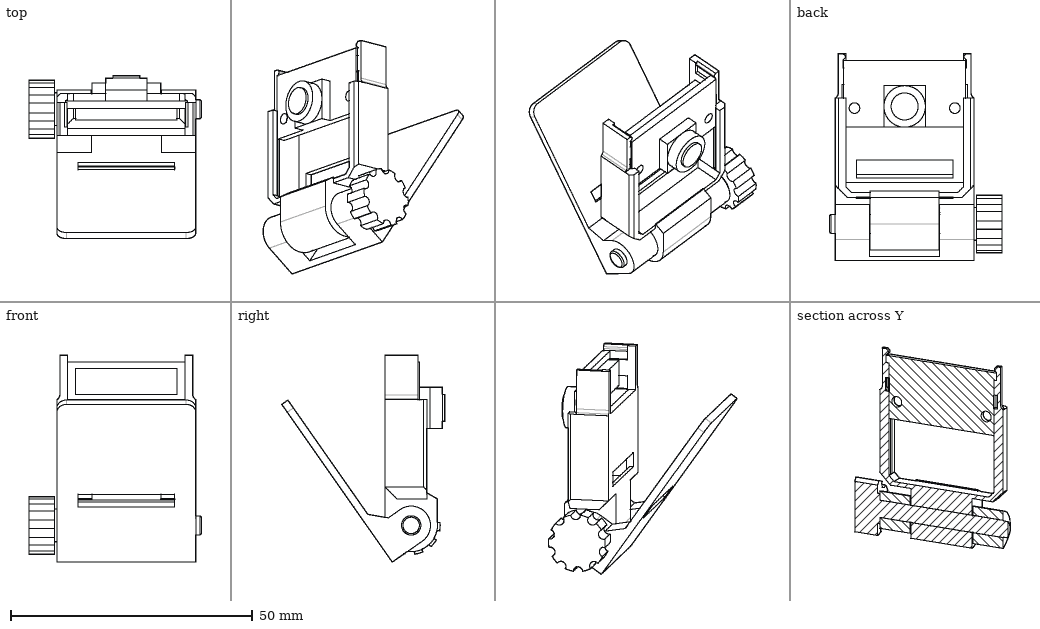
import cadquery as cq
import math


flap_angle = 55.0
pin_radius = 2.0
knuckle_radius = 4.0
tongue_radius = 5.45
tongue_width = 14.3
knuckle_gap = 0.1
tongue_top_slope = 30.0

housing_width = 28.8
housing_front = -tongue_radius
housing_depth = 8.7
housing_rear = housing_front + housing_depth
housing_bottom = 5.5
shoulder_height = 26.05
bottom_chamfer = 2.5
rear_corner_chamfer = 0.7

arm_top = 35.3
arm_outer = 13.8
arm_rear = 1.44
arm_root_radius = 1.03

cavity_half_width = 12.15
front_wall = 1.5
cavity_front = housing_front + front_wall
floor_height = 6.5
floor_half_width = 11.0
floor_front = -1.9
window_length = 20.0
window_bottom = 10.2
window_height = 3.0
window_chamfer = 0.7

groove_front = -3.7
lead_in_half_width = 12.8
catch_half_width = 12.33
catch_height = 0.4
catch_bulge = 0.08
upper_notch_half_width = lead_in_half_width
lower_notch_half_width = 13.0
upper_notch_floor = 32.3
lower_notch_floor = shoulder_height
lower_notch_top = 28.9

plate_front = 0.12
plate_rear = 1.73
plate_bottom = 20.05
plate_top = 33.9
flange_half_width = 12.65
lip_rise = 0.3
boss_size = 8.6
boss_rear = 3.94
boss_center = plate_bottom + boss_size / 2
plate_hole_radius = 1.1
plate_hole_x = 10.4
plate_hole_z = 24.0
pad_length = 21.0
pad_bottom = 27.1
pad_top = 32.5
pad_thickness = 2.35
button_length = 2.5
button_tip_radius = 2.8
button_tip_length = 0.53

leaf_inner = 6.03
leaf_outer = 7.6
leaf_top = 35.95
leaf_corner_radius = 2.0
lip_height = 7.05
flap_slot_bottom = 10.7
flap_slot_top = 13.16
flap_slot_chamfer = 0.75

grip_radius = 6.03
grip_length = 5.35
collar_radius = 3.42
collar_length = 0.45
pin_overhang = 1.2
pin_chamfer = 0.3
flute_count = 10
flute_radius = 1.0
flute_center_radius = 6.0
first_flute_angle = 15.5


def box(x0, x1, y0, y1, z0, z1):
    return cq.Workplane("XY").box(x1 - x0, y1 - y0, z1 - z0, centered=False).translate((x0, y0, z0))


def along_x(x0):
    """Sketch plane across the hinge axis: local axes are Y and Z, extruded toward +X."""
    return cq.Workplane("YZ", origin=(x0, 0, 0))


def along_y(y0):
    """Sketch plane at y0: local axes are X and Z; a negative extrusion runs toward +Y."""
    return cq.Workplane("XZ", origin=(0, y0, 0))


def both_sides(body):
    return body.union(body.mirror("YZ"))


half_width = housing_width / 2
pin_bore = along_x(-half_width).circle(pin_radius).extrude(housing_width)


def housing_shell():
    """Block with a bottom bevelled at the front and sides, and cut rear corners."""
    bevel_top = housing_bottom + bottom_chamfer
    bottom_half_width = half_width - bottom_chamfer
    front_profile = [
        (-bottom_half_width, housing_bottom),
        (bottom_half_width, housing_bottom),
        (half_width, bevel_top),
        (half_width, shoulder_height),
        (-half_width, shoulder_height),
        (-half_width, bevel_top),
    ]
    side_profile = [
        (housing_front + bottom_chamfer, housing_bottom),
        (housing_rear, housing_bottom),
        (housing_rear, shoulder_height),
        (housing_front, shoulder_height),
        (housing_front, bevel_top),
    ]
    block = along_y(housing_front).polyline(front_profile).close().extrude(-housing_depth)
    block = block.edges("|Z and >Y").chamfer(rear_corner_chamfer)
    return block.intersect(along_x(-half_width).polyline(side_profile).close().extrude(housing_width))


def hinge_tongue():
    """Rounded tongue between the two knuckles of the flap."""
    slope_rise = (tongue_radius - housing_rear) * math.tan(math.radians(tongue_top_slope))
    return (
        along_x(-tongue_width / 2)
        .moveTo(-tongue_radius, 0)
        .threePointArc((0, -tongue_radius), (tongue_radius, 0))
        .lineTo(tongue_radius, housing_bottom)
        .lineTo(housing_rear, housing_bottom + slope_rise)
        .lineTo(housing_front, housing_bottom + bottom_chamfer)
        .close()
        .extrude(tongue_width)
    )


def arms():
    """Two upright arms, each joined to its shoulder by a fillet that ends in a 45 degree bevel."""
    root_angle = math.radians(45)
    fillet_run = arm_root_radius * (1 - math.cos(root_angle))
    fillet_rise = arm_root_radius * math.sin(root_angle)
    bevel = half_width - arm_outer - fillet_run
    fillet_top = shoulder_height + bevel + fillet_rise
    middle_run = arm_root_radius * (1 - math.cos(root_angle / 2))
    middle_rise = arm_root_radius * math.sin(root_angle / 2)
    arm = (
        along_y(housing_front)
        .moveTo(cavity_half_width, shoulder_height)
        .lineTo(half_width, shoulder_height)
        .lineTo(half_width - bevel, shoulder_height + bevel)
        .threePointArc((arm_outer + middle_run, fillet_top - middle_rise), (arm_outer, fillet_top))
        .lineTo(arm_outer, arm_top)
        .lineTo(cavity_half_width, arm_top)
        .close()
        .extrude(housing_front - arm_rear)
    )
    return both_sides(arm)


def cavity():
    """Space inside the housing, narrowing to a flat floor at the front and sides."""
    side_slope_top = floor_height + cavity_half_width - floor_half_width
    front_slope_top = floor_height + floor_front - cavity_front
    front_profile = [
        (-floor_half_width, floor_height),
        (floor_half_width, floor_height),
        (cavity_half_width, side_slope_top),
        (cavity_half_width, arm_top),
        (-cavity_half_width, arm_top),
        (-cavity_half_width, side_slope_top),
    ]
    side_profile = [
        (floor_front, floor_height),
        (housing_rear, floor_height),
        (housing_rear, arm_top),
        (cavity_front, arm_top),
        (cavity_front, front_slope_top),
    ]
    hollow = along_y(cavity_front).polyline(front_profile).close().extrude(cavity_front - housing_rear)
    return hollow.intersect(
        along_x(-cavity_half_width).polyline(side_profile).close().extrude(2 * cavity_half_width)
    )


def flange_track():
    """Undercut that keeps the flanges of the slide plate behind the arms."""
    profile = [
        (0, arm_rear),
        (flange_half_width, arm_rear),
        (flange_half_width, plate_rear),
        (cavity_half_width, plate_rear + lip_rise),
        (0, plate_rear + lip_rise),
    ]
    track = (
        cq.Workplane("XY", origin=(0, 0, floor_height + cavity_half_width - floor_half_width))
        .polyline(profile)
        .close()
        .extrude(arm_top)
    )
    return both_sides(track)


def arm_grooves():
    """Lead-in at the arm top, a rounded catch below it and two square notches."""
    catch_top = arm_top - (lead_in_half_width - catch_half_width)
    catch_bottom = catch_top - catch_height
    undercut_top = catch_bottom - (upper_notch_half_width - catch_half_width)
    groove = (
        along_y(groove_front)
        .moveTo(0, arm_top)
        .lineTo(lead_in_half_width, arm_top)
        .lineTo(catch_half_width, catch_top)
        .threePointArc(
            (catch_half_width - catch_bulge, (catch_top + catch_bottom) / 2),
            (catch_half_width, catch_bottom),
        )
        .lineTo(upper_notch_half_width, undercut_top)
        .lineTo(upper_notch_half_width, upper_notch_floor)
        .lineTo(cavity_half_width, upper_notch_floor)
        .lineTo(cavity_half_width, lower_notch_top)
        .lineTo(lower_notch_half_width, lower_notch_top)
        .lineTo(lower_notch_half_width, lower_notch_floor)
        .lineTo(0, lower_notch_floor)
        .close()
        .extrude(groove_front - arm_rear)
    )
    return both_sides(groove)


def front_clearance():
    """Opening between the arms, above the front wall."""
    return box(-cavity_half_width, cavity_half_width, housing_front, cavity_front, shoulder_height, arm_top)


def front_window():
    """Slot through the front wall, with its lower edge bevelled on the inside."""
    profile = [
        (housing_front, window_bottom),
        (housing_front, window_bottom + window_height),
        (cavity_front, window_bottom + window_height),
        (cavity_front, window_bottom - window_chamfer),
        (cavity_front - window_chamfer, window_bottom),
    ]
    return along_x(-window_length / 2).polyline(profile).close().extrude(window_length)


def make_housing():
    body = housing_shell().union(hinge_tongue()).union(arms())
    body = body.cut(cavity()).cut(front_clearance())
    return body.cut(flange_track()).cut(arm_grooves()).cut(front_window()).cut(pin_bore)


def make_flap():
    """Leaf with two knuckles, built upright in front of the housing and then swung open."""
    leaf = box(-half_width, half_width, -leaf_outer, -leaf_inner, -knuckle_radius, leaf_top)
    leaf = leaf.edges("|Y and >Z").fillet(leaf_corner_radius)

    knuckle_width = (housing_width - tongue_width) / 2 - knuckle_gap
    lip_foot = leaf_inner - (lip_height - knuckle_radius)
    knuckle = (
        along_x(half_width - knuckle_width)
        .moveTo(0, -knuckle_radius)
        .threePointArc((knuckle_radius, 0), (0, knuckle_radius))
        .lineTo(-lip_foot, knuckle_radius)
        .lineTo(-leaf_inner, lip_height)
        .lineTo(-leaf_inner, -knuckle_radius)
        .close()
        .extrude(knuckle_width)
    )
    slot_profile = [
        (-leaf_inner, flap_slot_bottom),
        (-leaf_inner, flap_slot_top),
        (-leaf_outer, flap_slot_top),
        (-leaf_outer, flap_slot_bottom - flap_slot_chamfer),
        (-leaf_outer + flap_slot_chamfer, flap_slot_bottom),
    ]
    slot = along_x(-window_length / 2).polyline(slot_profile).close().extrude(window_length)
    upright = leaf.union(both_sides(knuckle)).cut(slot).cut(pin_bore)
    return upright.rotate((0, 0, 0), (1, 0, 0), 90 - flap_angle)


def make_hinge_screw():
    """Fluted grip, collar and pin that runs through both knuckles and the tongue."""
    grip_end = -half_width - collar_length - grip_length
    flutes = (
        along_x(grip_end)
        .polarArray(flute_center_radius, first_flute_angle, 360, flute_count)
        .circle(flute_radius)
        .extrude(grip_length)
    )
    grip = along_x(grip_end).circle(grip_radius).extrude(grip_length).cut(flutes)
    collar = along_x(-half_width - collar_length).circle(collar_radius).extrude(collar_length)
    pin = along_x(-half_width).circle(pin_radius).extrude(housing_width + pin_overhang)
    pin = pin.faces(">X").chamfer(pin_chamfer)
    return grip.union(collar).union(pin)


def make_slide_plate():
    """Plate between the arms, with flanges behind them, ears in their upper notches and a square boss."""
    plate = box(-cavity_half_width, cavity_half_width, plate_front, plate_rear, plate_bottom, plate_top)
    flanges = box(-flange_half_width, flange_half_width, arm_rear, plate_rear, plate_bottom, plate_top)
    ears = box(
        -upper_notch_half_width, upper_notch_half_width,
        plate_front, arm_rear,
        upper_notch_floor, plate_top,
    )
    boss = box(
        -boss_size / 2, boss_size / 2,
        plate_rear, boss_rear,
        plate_bottom, plate_bottom + boss_size,
    )
    holes = (
        along_y(plate_front)
        .pushPoints([(-plate_hole_x, plate_hole_z), (plate_hole_x, plate_hole_z)])
        .circle(plate_hole_radius)
        .extrude(plate_front - plate_rear)
    )
    return plate.union(flanges).union(ears).union(boss).cut(holes)


def make_pad():
    """Rectangular pad on the front of the slide plate."""
    return box(-pad_length / 2, pad_length / 2, plate_front - pad_thickness, plate_front, pad_bottom, pad_top)


def make_button():
    """Round button on the boss, with a smaller stepped tip."""
    button_rear = boss_rear + button_length
    head = along_y(boss_rear).center(0, boss_center).circle(boss_size / 2).extrude(-button_length)
    tip = along_y(button_rear).center(0, boss_center).circle(button_tip_radius).extrude(-button_tip_length)
    return head.union(tip)


housing = make_housing()
flap = make_flap()
hinge_screw = make_hinge_screw()
slide_plate = make_slide_plate()
pad = make_pad()
button = make_button()

result = cq.Compound.makeCompound([
    housing.val(),
    flap.val(),
    hinge_screw.val(),
    slide_plate.val(),
    pad.val(),
    button.val(),
])